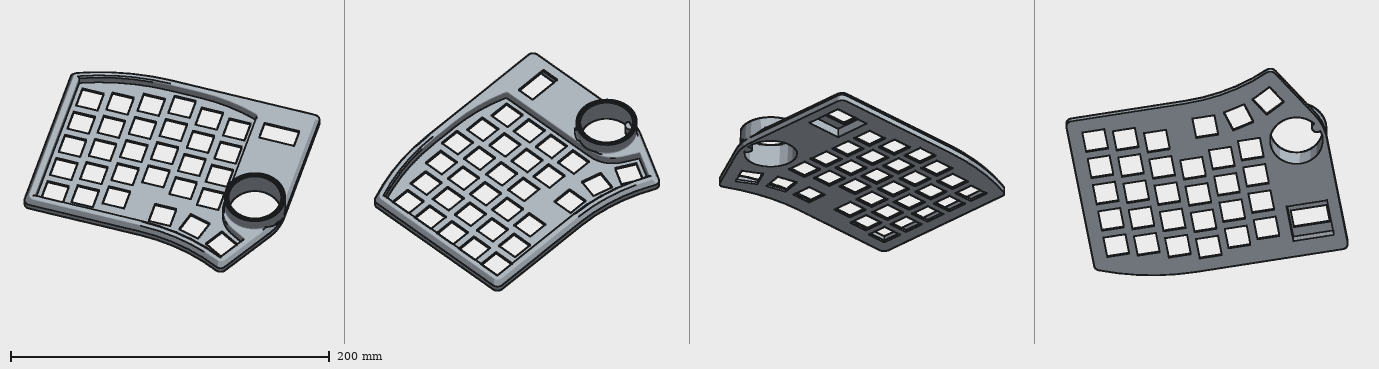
import cadquery as cq
import math


CASE_WIDTH = 159.47
CASE_BACK_Y = 119.36
CASE_HEIGHT = 7.5
CORNER_RADIUS = 4.0
BEVEL_HEIGHT = 3.5
BEVEL_ANGLE = 35.0
BEVEL_WIDTH = BEVEL_HEIGHT * math.tan(math.radians(BEVEL_ANGLE))
BEVEL_EDGE_RADIUS = 1.0

BACK_ARC_RADIUS = 158.0
BACK_ARC_CENTRE = (62.2, CASE_BACK_Y - BACK_ARC_RADIUS)
FRONT_ARC_RADIUS = 119.2
FRONT_ARC_CENTRE = (76.6, -FRONT_ARC_RADIUS)
THUMB_SIDE_POINT = (150.68, 14.65)
THUMB_SIDE_ANGLE = math.radians(60.0)
RIGHT_BEND_RADIUS = 34.0

RIM_WIDTH = 6.1
PLATE_THICKNESS = 1.5
POCKET_RIGHT_X = 121.4
POCKET_BACK_Y = CASE_BACK_Y - RIM_WIDTH
POCKET_RIGHT_ARC_RADIUS = 118.0
POCKET_RIGHT_ARC_CENTRE = (81.8, POCKET_BACK_Y - POCKET_RIGHT_ARC_RADIUS)
POCKET_CORNER_RADIUS = 2.0
THUMB_CORNER_RADIUS = 0.6
POCKET_RIM_RADIUS = 1.0
POCKET_BEND_Y = 22.45
POCKET_BEND_RADIUS = 20.8

KEY_HOLE = 14.0
KEY_PITCH = 19.0
FIRST_KEY = 16.2
KEY_COLUMNS = [
    (0.0, 5),
    (KEY_PITCH / 8, 5),
    (KEY_PITCH * 3 / 8, 5),
    (KEY_PITCH + 11.1, 4),
    (KEY_PITCH * 11 / 8, 4),
    (KEY_PITCH + 3.96, 4),
]
FIRST_THUMB_KEY = (85.9, 18.4)
THUMB_FAN_RADIUS = 84.0
THUMB_FAN_STEP = 15.0
THUMB_KEY_COUNT = 3

WINDOW_CENTRE = (139.1, 95.75)
WINDOW_LENGTH_X = 22.8
WINDOW_LENGTH_Y = 12.0
ROOF_THICKNESS = 1.5
RECESS_MARGIN_X = 1.5
RECESS_MARGIN_Y = 6.5

COLLAR_TOP = 16.3
COLLAR_DIAMETER = 38.0
COLLAR_BORE = 33.0
COLLAR_SEAT_DIAMETER = 35.0
COLLAR_SEAT_DEPTH = 1.0
COLLAR_EDGE_CHAMFER = 0.7
COLLAR_FOOT_RADIUS = 1.0
COLLAR_CENTRE = (CASE_WIDTH - COLLAR_DIAMETER / 2, 38.1)
POST_DIAMETER = 6.6
POST_OFFSET = (14.4, -6.9)


def arc_y(centre, radius, x):
    """Y of the upper half of a circle at the given X."""
    return centre[1] + math.sqrt(radius**2 - (x - centre[0]) ** 2)


def arc_middle(centre, radius, start, end):
    """Point halfway along the arc from start to end."""
    start_angle = math.atan2(start[1] - centre[1], start[0] - centre[0])
    end_angle = math.atan2(end[1] - centre[1], end[0] - centre[0])
    angle = (start_angle + end_angle) / 2
    return (centre[0] + radius * math.cos(angle), centre[1] + radius * math.sin(angle))


def thumb_side_x(y, inset):
    """X of the slanted thumb side, moved inwards by the inset, at the given Y."""
    along = (y - THUMB_SIDE_POINT[1]) / math.tan(THUMB_SIDE_ANGLE)
    return THUMB_SIDE_POINT[0] + along - inset / math.sin(THUMB_SIDE_ANGLE)


def thumb_side_y(x, inset):
    """Y of the slanted thumb side, moved inwards by the inset, at the given X."""
    return (x - thumb_side_x(0, inset)) * math.tan(THUMB_SIDE_ANGLE)


def thumb_corner(inset):
    """Point where the front arc meets the thumb side, both moved inwards by the inset."""
    base_x = thumb_side_x(0, inset)
    dx = base_x - FRONT_ARC_CENTRE[0]
    dy = -FRONT_ARC_CENTRE[1]
    half_slope = dx * math.cos(THUMB_SIDE_ANGLE) + dy * math.sin(THUMB_SIDE_ANGLE)
    excess = dx**2 + dy**2 - (FRONT_ARC_RADIUS + inset) ** 2
    travel = math.sqrt(half_slope**2 - excess) - half_slope
    return (base_x + travel * math.cos(THUMB_SIDE_ANGLE), travel * math.sin(THUMB_SIDE_ANGLE))


def start_outline(inset):
    """Front side and thumb corner, which the body and the pocket share."""
    radius = FRONT_ARC_RADIUS + inset
    arc_start = (FRONT_ARC_CENTRE[0], inset)
    tip = thumb_corner(inset)
    return (
        cq.Workplane("XY")
        .moveTo(inset, inset)
        .lineTo(*arc_start)
        .threePointArc(arc_middle(FRONT_ARC_CENTRE, radius, arc_start, tip), tip)
    )


def close_outline(outline, inset):
    """Left part of the back side and the left side, which the body and the pocket share."""
    radius = BACK_ARC_RADIUS - inset
    arc_start = (BACK_ARC_CENTRE[0], CASE_BACK_Y - inset)
    back_left = (inset, arc_y(BACK_ARC_CENTRE, radius, inset))
    return (
        outline.lineTo(*arc_start)
        .threePointArc(arc_middle(BACK_ARC_CENTRE, radius, arc_start, back_left), back_left)
        .close()
    )


def round_upright_edge(solid, corner, radius):
    nearest = cq.selectors.NearestToPointSelector((*corner, CASE_HEIGHT / 2))
    return solid.edges("|Z").edges(nearest).fillet(radius)


def body_slab(inset, height):
    """Upright slab of the body outline moved inwards; the corner radii stay the same."""
    right_x = CASE_WIDTH - inset
    bend = (right_x, thumb_side_y(right_x, inset))
    back_right = (right_x, CASE_BACK_Y - inset)
    outline = start_outline(inset).lineTo(*bend).lineTo(*back_right)
    slab = close_outline(outline, inset).extrude(height)
    back_left = (inset, arc_y(BACK_ARC_CENTRE, BACK_ARC_RADIUS - inset, inset))
    for corner in [(inset, inset), thumb_corner(inset), back_right, back_left]:
        slab = round_upright_edge(slab, corner, CORNER_RADIUS)
    return round_upright_edge(slab, bend, RIGHT_BEND_RADIUS)


def make_body():
    wall_height = CASE_HEIGHT - BEVEL_HEIGHT
    base = body_slab(0, wall_height)
    bevel_bottom = base.faces(">Z").wires().val()
    bevel_top = body_slab(BEVEL_WIDTH, CASE_HEIGHT).faces(">Z").wires().val()
    bevel = cq.Workplane(cq.Solid.makeLoft([bevel_bottom, bevel_top], True))
    return base.union(bevel).faces(">Z").edges().fillet(BEVEL_EDGE_RADIUS)


def make_pocket():
    bend = (POCKET_RIGHT_X, POCKET_BEND_Y)
    wall_length = (thumb_side_x(POCKET_BEND_Y, RIM_WIDTH) - POCKET_RIGHT_X) * math.sin(THUMB_SIDE_ANGLE)
    side_corner = (
        bend[0] + wall_length * math.sin(THUMB_SIDE_ANGLE),
        bend[1] - wall_length * math.cos(THUMB_SIDE_ANGLE),
    )
    back_right = (POCKET_RIGHT_X, arc_y(POCKET_RIGHT_ARC_CENTRE, POCKET_RIGHT_ARC_RADIUS, POCKET_RIGHT_X))
    arc_end = (POCKET_RIGHT_ARC_CENTRE[0], POCKET_BACK_Y)
    middle = arc_middle(POCKET_RIGHT_ARC_CENTRE, POCKET_RIGHT_ARC_RADIUS, back_right, arc_end)
    outline = (
        start_outline(RIM_WIDTH)
        .lineTo(*side_corner)
        .lineTo(*bend)
        .lineTo(*back_right)
        .threePointArc(middle, arc_end)
    )
    pocket = close_outline(outline, RIM_WIDTH).extrude(CASE_HEIGHT)
    pocket = round_upright_edge(pocket, back_right, POCKET_CORNER_RADIUS)
    pocket = round_upright_edge(pocket, side_corner, THUMB_CORNER_RADIUS)
    pocket = round_upright_edge(pocket, bend, POCKET_BEND_RADIUS)
    return pocket.translate((0, 0, PLATE_THICKNESS))


def cut_pocket(body):
    body = body.cut(make_pocket())
    rim = body.faces(">Z").val().innerWires()[0]
    return body.newObject(rim.Edges()).fillet(POCKET_RIM_RADIUS)


def key_hole(x, y, turn):
    hole = cq.Workplane("XY").rect(KEY_HOLE, KEY_HOLE).extrude(CASE_HEIGHT)
    return hole.rotate((0, 0, 0), (0, 0, 1), turn).translate((x, y, 0))


def make_key_holes():
    holes = cq.Workplane("XY")
    for column, (rise, count) in enumerate(KEY_COLUMNS):
        x = FIRST_KEY + column * KEY_PITCH
        for row in range(count):
            holes = holes.add(key_hole(x, FIRST_KEY + rise + row * KEY_PITCH, 0))
    for key in range(THUMB_KEY_COUNT):
        turn = key * THUMB_FAN_STEP
        x = FIRST_THUMB_KEY[0] + THUMB_FAN_RADIUS * math.sin(math.radians(turn))
        y = FIRST_THUMB_KEY[1] - THUMB_FAN_RADIUS * (1 - math.cos(math.radians(turn)))
        holes = holes.add(key_hole(x, y, -turn))
    return holes.combine()


def window_block(margin_x, margin_y, height):
    length_x = WINDOW_LENGTH_X + 2 * margin_x
    length_y = WINDOW_LENGTH_Y + 2 * margin_y
    return cq.Workplane("XY").center(*WINDOW_CENTRE).rect(length_x, length_y).extrude(height)


def cut_window(body):
    window = window_block(0, 0, CASE_HEIGHT)
    recess = window_block(RECESS_MARGIN_X, RECESS_MARGIN_Y, CASE_HEIGHT - ROOF_THICKNESS)
    return body.cut(window).cut(recess)


def collar_cylinder(diameter, bottom, top):
    return cq.Workplane("XY", origin=(*COLLAR_CENTRE, bottom)).circle(diameter / 2).extrude(top - bottom)


def make_collar_foot(body):
    """Concave flare around the collar, kept to the flat top of the body."""
    radius = COLLAR_DIAMETER / 2
    dip = COLLAR_FOOT_RADIUS * (1 - math.sqrt(0.5))
    flare = (
        cq.Workplane("XZ", origin=(*COLLAR_CENTRE, CASE_HEIGHT))
        .lineTo(radius + COLLAR_FOOT_RADIUS, 0)
        .threePointArc((radius + dip, dip), (radius, COLLAR_FOOT_RADIUS))
        .lineTo(0, COLLAR_FOOT_RADIUS)
        .close()
        .revolve(360, (0, 0, 0), (0, 1, 0))
    )
    flat_top = body.faces(">Z").wires().toPending().extrude(COLLAR_FOOT_RADIUS, combine=False)
    return flare.intersect(flat_top)


def add_collar(body):
    foot = make_collar_foot(body)
    collar = collar_cylinder(COLLAR_DIAMETER, 0, COLLAR_TOP).faces(">Z").chamfer(COLLAR_EDGE_CHAMFER)
    bore = collar_cylinder(COLLAR_BORE, 0, COLLAR_TOP)
    seat = collar_cylinder(COLLAR_SEAT_DIAMETER, COLLAR_TOP - COLLAR_SEAT_DEPTH, COLLAR_TOP)
    return body.union(collar).union(foot).cut(bore).cut(seat)


def add_post(body):
    """Round post that stands inside the bore, against its wall."""
    post = (
        cq.Workplane("XY", origin=(*COLLAR_CENTRE, 0))
        .center(*POST_OFFSET)
        .circle(POST_DIAMETER / 2)
        .extrude(CASE_HEIGHT - ROOF_THICKNESS)
    )
    return body.union(post)


body = cut_pocket(make_body())
body = body.cut(make_key_holes())
body = cut_window(body)
body = add_collar(body)
result = add_post(body)